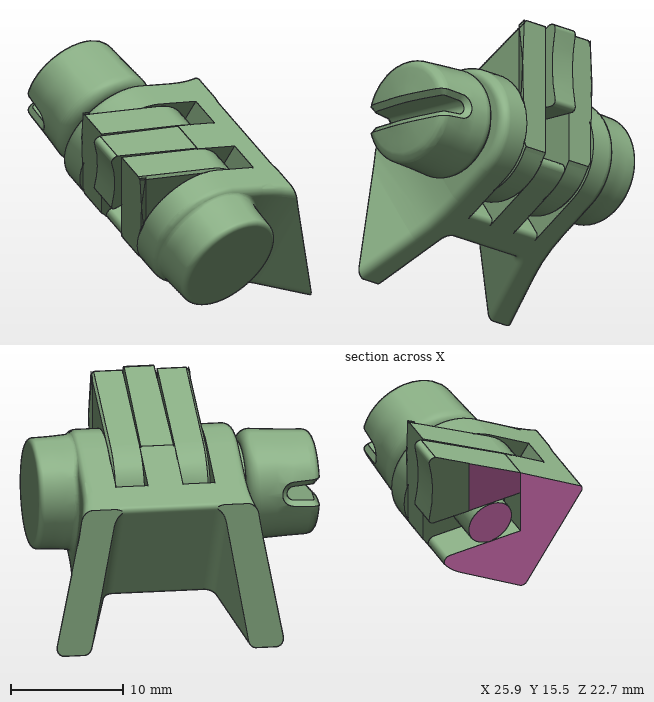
import cadquery as cq
import math


rod_radius = 2.18

knuckle_radius = 5.55
bracket_slope = 33.3
back_y = 9.35
ear_half_width = 7.48
ear_rounding = 0.83
flare_angle = 20.0
flare_arc_start = 3.97
flare_arc_end = 9.1
slab_run = 18.18
notch_start = 7.77
notch_half_width = 4.88
notch_angle = 18.5
notch_corner_radius = 1.05
slot_inner_x = 1.58
slot_outer_x = 4.5
slot_end = 4.8
opening_rounding = 0.52
seat_floor_z = -rod_radius
seat_rounding = 0.62
boss_end_x = 11.0
boss_root_radius = 5.2
boss_end_radius = 4.95
boss_rounding = 0.5
boss_root_fillet = 0.4

screw_end_x = -15.0
neck_radius = 3.9
neck_length = 0.5
head_back_radius = 5.0
head_back_rounding = 1.1
dome_radius = 4.7
dome_rise = 1.22
dome_middle_radius = 3.22
dome_middle_rise = 0.29
driver_slot_mouth = 0.83
driver_slot_root = 0.62
driver_slot_depth = 3.43
driver_slot_chamfer = 0.5

lever_radius = 5.55
lever_slope = 31.3
lever_front_y = -5.22
lever_heel_z = -2.08
lever_heel_drop = 0.35
lever_outer_x = 4.45
lever_chamfer = 0.23
lip_rise = 0.23
lip_depth = 0.68
lip_peak_z = 5.77
lip_end_z = -1.82

tongue_root_half_width = 1.48
tongue_tip_half_width = 1.35
tongue_bottom_z = 2.23
tongue_tip_y = -6.28
tongue_top_z = 9.87
tongue_waist_y = -5.82
tongue_tip_rounding = 0.47
tongue_heel_rounding = 0.47

through = 25.97
clearance = 0.25

slope = math.radians(bracket_slope)
slab_plane = cq.Plane(
    origin=(0, 0, 0),
    xDir=(1, 0, 0),
    normal=(0, math.sin(slope), math.cos(slope)),
)
knuckle_tangent_y = knuckle_radius * math.sin(slope)
boss_root_x = ear_half_width - ear_rounding

lever_tilt = math.radians(lever_slope)
lever_tangent_y = lever_radius * math.sin(lever_tilt)
lever_tangent_z = lever_radius * math.cos(lever_tilt)
top_plane_z_at_axis = lever_radius / math.cos(lever_tilt)
lever_top_z = top_plane_z_at_axis - lever_front_y * math.tan(lever_tilt)
tongue_root_z = top_plane_z_at_axis - knuckle_tangent_y * math.tan(lever_tilt)
tongue_crest_y = (top_plane_z_at_axis - tongue_top_z) / math.tan(lever_tilt)


def axial_cylinder(radius, x_start, x_end):
    """A cylinder on the hinge axis."""
    return cq.Workplane("YZ").workplane(offset=x_start).circle(radius).extrude(x_end - x_start)


def block(x_range, y_range, z_range):
    """A box given by its limits along each axis."""
    sizes = [high - low for low, high in (x_range, y_range, z_range)]
    corner = (x_range[0], y_range[0], z_range[0])
    return cq.Workplane("XY").box(*sizes, centered=False).translate(corner)


def slab_box(x_start, x_end, run_start, run_end):
    """A box through the slab, limited across it and down its slope."""
    centre = ((x_start + x_end) / 2, (run_start + run_end) / 2)
    box = cq.Workplane(slab_plane).center(*centre).rect(x_end - x_start, run_end - run_start)
    return box.extrude(through, both=True)


def nearest_on_slab(x, run, height):
    """Selector for what lies nearest to a point given across, along and above the slab."""
    return cq.NearestToPointSelector(slab_plane.toWorldCoords((x, run, height)).toTuple())


def make_flared_slab():
    """The slab with its flared feet, the round knuckle and the rounded flank edges."""
    flare = math.radians(flare_angle)
    arc_run = flare_arc_end - flare_arc_start
    arc_radius = arc_run / math.sin(flare)
    arc_middle_x = ear_half_width + arc_radius * (1 - math.cos(flare / 2))
    arc_middle_run = flare_arc_start + arc_radius * math.sin(flare / 2)
    arc_end_x = ear_half_width + arc_run * math.tan(flare / 2)
    foot_x = arc_end_x + (slab_run - flare_arc_end) * math.tan(flare)
    plate = (
        cq.Workplane(slab_plane)
        .moveTo(-ear_half_width, 0)
        .lineTo(ear_half_width, 0)
        .lineTo(ear_half_width, flare_arc_start)
        .threePointArc((arc_middle_x, arc_middle_run), (arc_end_x, flare_arc_end))
        .lineTo(foot_x, slab_run)
        .lineTo(-foot_x, slab_run)
        .lineTo(-arc_end_x, flare_arc_end)
        .threePointArc((-arc_middle_x, arc_middle_run), (-ear_half_width, flare_arc_start))
        .close()
        .extrude(knuckle_radius, both=True)
    )
    slab = plate.union(axial_cylinder(knuckle_radius, -ear_half_width, ear_half_width))
    for rim_x in (-ear_half_width, ear_half_width):
        flank = slab.faces(cq.NearestToPointSelector((rim_x, 0, 0)))
        slab = flank.edges("%CIRCLE").fillet(ear_rounding)
    slab = slab.cut(make_notch())
    for height in (-knuckle_radius, knuckle_radius):
        slab = slab.edges(nearest_on_slab(0, notch_start, height)).fillet(opening_rounding)
    return slab.cut(block((-through, through), (back_y, through), (-through, through)))


def make_notch():
    """The widening gap between the two feet."""
    spread = (slab_run - notch_start) * math.tan(math.radians(notch_angle))
    notch = (
        cq.Workplane(slab_plane)
        .moveTo(-notch_half_width, notch_start)
        .lineTo(notch_half_width, notch_start)
        .lineTo(notch_half_width + spread, slab_run)
        .lineTo(-notch_half_width - spread, slab_run)
        .close()
        .extrude(through, both=True)
    )
    inner_wall = notch.faces(nearest_on_slab(0, notch_start, 0))
    corners = inner_wall.edges(cq.selectors.ParallelDirSelector(slab_plane.zDir))
    return corners.fillet(notch_corner_radius)


def make_lever_slot(side):
    """One lever slot: a square end past the knuckle, with room for the round lever."""
    x_start, x_end = sorted((side * slot_inner_x, side * slot_outer_x))
    opening = slab_box(x_start, x_end, -through, slot_end)
    return opening.union(axial_cylinder(knuckle_radius, x_start, x_end))


def make_boss():
    """The tapered boss on the +X ear."""
    length = boss_end_x - boss_root_x
    taper = math.degrees(math.atan((boss_root_radius - boss_end_radius) / length))
    root = cq.Workplane("YZ").workplane(offset=boss_root_x).circle(boss_root_radius)
    boss = root.extrude(length, taper=taper)
    return boss.faces(">X").edges().fillet(boss_rounding)


def make_bracket():
    """The slab and its boss, with the lever slots, the tongue's seat and the rod hole."""
    bracket = make_flared_slab().union(make_boss())
    root_region = cq.selectors.BoxSelector(
        (0, -through, -through),
        (ear_half_width + ear_rounding, through, through),
    )
    bracket = bracket.faces("%CONE").edges(root_region).fillet(boss_root_fillet)
    for side in (-1, 1):
        bracket = bracket.cut(make_lever_slot(side))
        rim_x = side * (slot_inner_x + slot_outer_x) / 2
        lower_rim = bracket.edges(nearest_on_slab(rim_x, slot_end, -knuckle_radius))
        bracket = lower_rim.fillet(opening_rounding)
    seat = block((-slot_inner_x, slot_inner_x), (-through, knuckle_tangent_y), (seat_floor_z, through))
    bracket = bracket.cut(seat)
    seat_rim = (0, -math.sqrt(knuckle_radius**2 - seat_floor_z**2), seat_floor_z)
    bracket = bracket.edges(cq.NearestToPointSelector(seat_rim)).fillet(seat_rounding)
    return bracket.cut(make_rod())


def make_rod():
    """The plain rod that runs through both ears and the levers."""
    return axial_cylinder(rod_radius, -ear_half_width, ear_half_width)


def make_screw():
    """The screw head with its driver slot, and the neck that bears on the -X ear."""
    head_back_x = -ear_half_width - neck_length
    dome_edge_x = screw_end_x + dome_rise
    head = (
        cq.Workplane("XY")
        .moveTo(screw_end_x, 0)
        .spline(
            [(screw_end_x + dome_middle_rise, dome_middle_radius), (dome_edge_x, dome_radius)],
            tangents=[(0, 1), (head_back_x - dome_edge_x, head_back_radius - dome_radius)],
            includeCurrent=True,
        )
        .lineTo(head_back_x, head_back_radius)
        .lineTo(head_back_x, 0)
        .close()
        .revolve(360, (0, 0, 0), (1, 0, 0))
    )
    head = head.faces(">X").edges().fillet(head_back_rounding)
    root_centre_x = screw_end_x + driver_slot_depth - driver_slot_root
    driver_slot = (
        cq.Workplane("XZ")
        .moveTo(screw_end_x - clearance, driver_slot_mouth)
        .lineTo(root_centre_x, driver_slot_root)
        .threePointArc((root_centre_x + driver_slot_root, 0), (root_centre_x, -driver_slot_root))
        .lineTo(screw_end_x - clearance, -driver_slot_mouth)
        .close()
        .extrude(through, both=True)
    )
    head = head.cut(driver_slot)
    mouth = cq.selectors.BoxSelector(
        (screw_end_x - clearance, -through, -driver_slot_mouth - clearance),
        (screw_end_x + driver_slot_depth + clearance, through, driver_slot_mouth + clearance),
    )
    head = head.edges(mouth).edges("not(|Y)").chamfer(driver_slot_chamfer)
    return head.union(axial_cylinder(neck_radius, head_back_x, -ear_half_width))


def lever_blank(x_start, x_end):
    """The side outline of a lever, round with a flat top and front, as a plate between two x."""
    heel_z = lever_heel_z - lever_heel_drop
    heel_y = -math.sqrt(lever_radius**2 - heel_z**2)
    return (
        cq.Workplane("YZ")
        .workplane(offset=x_start)
        .moveTo(lever_tangent_y, lever_tangent_z)
        .lineTo(lever_front_y, lever_top_z)
        .lineTo(lever_front_y, lever_heel_z)
        .lineTo(heel_y, heel_z)
        .threePointArc((0, -lever_radius), (lever_tangent_y, lever_tangent_z))
        .close()
        .extrude(x_end - x_start)
    )


def make_lip():
    """The shallow wedge that widens the outer side of the +X lever along its front edge."""
    lip_x = lever_outer_x + lip_rise
    front_outline = [(lever_outer_x, lever_top_z), (lip_x, lip_peak_z), (lever_outer_x, lip_end_z)]
    plan_outline = [
        (lever_outer_x, lever_front_y),
        (lip_x, lever_front_y),
        (lever_outer_x, lever_front_y + lip_depth),
    ]
    front_shape = cq.Workplane("XZ").polyline(front_outline).close().extrude(through, both=True)
    plan_shape = cq.Workplane("XY").polyline(plan_outline).close().extrude(through, both=True)
    ear_space = axial_cylinder(knuckle_radius, slot_inner_x, ear_half_width)
    lip = lever_blank(lever_outer_x, lip_x).intersect(front_shape).intersect(plan_shape)
    return lip.cut(ear_space)


def make_lever(side):
    """A lever turning on the rod; side is -1 or 1 along X."""
    blank = lever_blank(slot_inner_x, lever_outer_x)
    front_edge = (lever_outer_x, lever_front_y, (lever_top_z + lever_heel_z) / 2)
    all_but_front = cq.selectors.InverseSelector(cq.NearestToPointSelector(front_edge))
    lever = blank.faces(">X").edges(all_but_front).chamfer(lever_chamfer)
    lever = lever.union(make_lip()).cut(make_rod())
    return lever if side > 0 else lever.mirror("YZ")


def make_tongue():
    """The tongue that sits on the middle knuckle and hooks over the front of the levers."""
    waist = (tongue_waist_y, (tongue_top_z + tongue_bottom_z) / 2)
    tongue = (
        cq.Workplane("YZ")
        .moveTo(knuckle_tangent_y, tongue_bottom_z)
        .lineTo(knuckle_tangent_y, tongue_root_z)
        .lineTo(tongue_crest_y, tongue_top_z)
        .lineTo(tongue_tip_y, tongue_top_z)
        .threePointArc(waist, (tongue_tip_y, tongue_bottom_z))
        .close()
        .extrude(slot_inner_x, both=True)
    )
    tip_edge = cq.NearestToPointSelector((0, tongue_tip_y, tongue_top_z))
    tongue = tongue.edges(tip_edge).fillet(tongue_tip_rounding)
    heel_edge = cq.NearestToPointSelector((0, tongue_tip_y, tongue_bottom_z))
    tongue = tongue.edges(heel_edge).fillet(tongue_heel_rounding)
    plan_outline = [
        (-tongue_root_half_width, knuckle_tangent_y),
        (tongue_root_half_width, knuckle_tangent_y),
        (tongue_tip_half_width, tongue_tip_y),
        (-tongue_tip_half_width, tongue_tip_y),
    ]
    plan_shape = cq.Workplane("XY").polyline(plan_outline).close().extrude(through)
    return tongue.intersect(plan_shape)


bracket = make_bracket()
rod = make_rod()
screw = make_screw()
levers = [make_lever(side) for side in (-1, 1)]
tongue = make_tongue()

result = cq.Compound.makeCompound(
    [bracket.val(), rod.val(), screw.val(), *[lever.val() for lever in levers], tongue.val()]
)